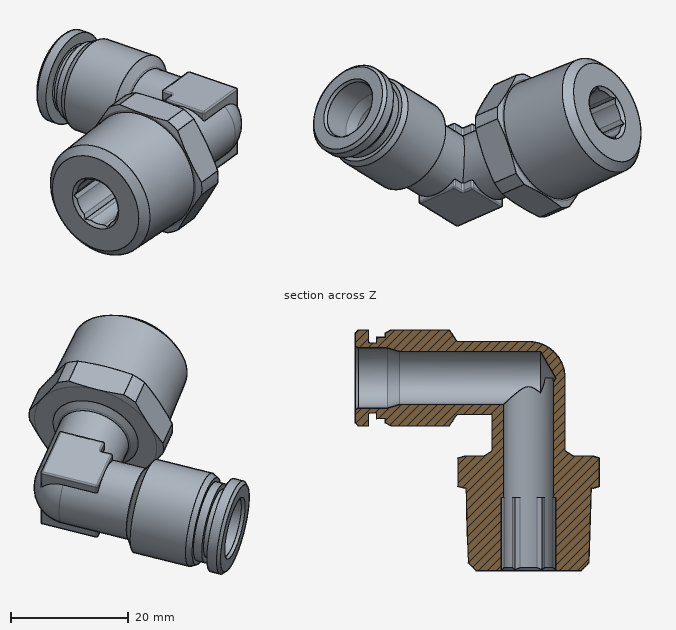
import cadquery as cq
import math


leg_radius = 6.25

tube_face = 29.55
sleeve_radius = 8.2
rim_chamfer = 0.55
collar_width = 2.3
neck_radius = 6.0
neck_flare = 0.2
seal_ring_radius = 6.95
seal_ring_offset = 3.6
sleeve_offset = 5.1
sleeve_chamfer = 1.0
sleeve_taper_offset = 16.05
shoulder_offset = 17.22

shoulder_rise = 0.2
shoulder_width = 0.2

tube_bore_radius = 5.1
mouth_radius = 5.4
mouth_depth = 0.6
tube_stop_offset = 5.5
tube_stop_taper = 2.1
passage_radius = 4.5
passage_end = 2.05
drill_half_angle = 60

thread_end = 32.82
hex_flats = 22.0
hex_corner_radius = 12.05
hex_face = 13.25
hex_width = 5.55
hex_bevel_depth = 0.35
hex_bevel_height = 1.1
flange_start = 12.52
flange_radius = 7.65
thread_radius = 10.7
thread_taper = 1 / 32
thread_chamfer = 1.37

bore_radius = 4.25
socket_flats = 8.0
socket_mouth_radius = 4.8
socket_depth = 12.5

pad_height = 6.5
pad_outer = 4.05
pad_inner = 6.2
pad_fillet = 0.3


def turned(stations, along_x):
    """Revolve (distance from origin, radius) stations about the -X or -Y axis.

    The first station lies on the axis; the last one is closed down to it.
    """
    closed = [*stations, (stations[-1][0], 0)]
    if along_x:
        points = [(-distance, radius) for distance, radius in closed]
        axis_end = (1, 0)
    else:
        points = [(radius, -distance) for distance, radius in closed]
        axis_end = (0, 1)
    return cq.Workplane("XY").polyline(points).close().revolve(360, (0, 0), axis_end)


def hex_prism(flats, start, length):
    """Hexagonal bar along -Y with two flats facing +Z and -Z."""
    corner_diameter = flats / math.cos(math.radians(30))
    return (
        cq.Workplane("XZ", origin=(0, -start, 0))
        .polygon(6, corner_diameter)
        .extrude(length)
    )


def tube_arm():
    shoulder_radius = leg_radius + shoulder_rise
    shoulder = tube_face - shoulder_offset
    return turned(
        [
            (0, 0),
            (0, leg_radius),
            (shoulder - shoulder_width, leg_radius),
            (shoulder, shoulder_radius),
            (tube_face - sleeve_taper_offset, sleeve_radius),
            (tube_face - sleeve_offset - sleeve_chamfer, sleeve_radius),
            (tube_face - sleeve_offset, sleeve_radius - rim_chamfer),
            (tube_face - sleeve_offset, seal_ring_radius),
            (tube_face - seal_ring_offset, seal_ring_radius),
            (tube_face - seal_ring_offset, neck_radius),
            (tube_face - collar_width - neck_flare, neck_radius),
            (tube_face - collar_width, neck_radius + neck_flare),
            (tube_face - collar_width, sleeve_radius),
            (tube_face - rim_chamfer, sleeve_radius),
            (tube_face, sleeve_radius - rim_chamfer),
        ],
        along_x=True,
    )


def threaded_arm():
    hex_end = hex_face + hex_width
    chamfer_start = thread_end - thread_chamfer
    thread_tip_radius = thread_radius - (chamfer_start - hex_end) * thread_taper
    core = turned(
        [
            (0, 0),
            (0, leg_radius),
            (flange_start - shoulder_width, leg_radius),
            (flange_start, leg_radius + shoulder_rise),
            (hex_face, flange_radius),
            (hex_face, thread_radius),
            (hex_end, thread_radius),
            (chamfer_start, thread_tip_radius),
            (thread_end, thread_tip_radius - thread_chamfer),
        ],
        along_x=False,
    )
    bevel_radius = hex_corner_radius - hex_bevel_height
    turned_envelope = turned(
        [
            (hex_face, 0),
            (hex_face, bevel_radius),
            (hex_face + hex_bevel_depth, hex_corner_radius),
            (hex_end - hex_bevel_depth, hex_corner_radius),
            (hex_end, bevel_radius),
        ],
        along_x=False,
    )
    hexagon = hex_prism(hex_flats, hex_face, hex_width).intersect(turned_envelope)
    return core.union(hexagon)


def label_pads():
    """One L-shaped block through the elbow, showing as a pad above and below it."""
    outline = [
        (-pad_inner, pad_outer),
        (pad_outer, pad_outer),
        (pad_outer, -pad_inner),
        (-pad_outer, -pad_inner),
        (-pad_outer, -pad_outer),
        (-pad_inner, -pad_outer),
    ]
    return (
        cq.Workplane("XY")
        .workplane(offset=-pad_height)
        .polyline(outline)
        .close()
        .extrude(2 * pad_height)
        .edges()
        .fillet(pad_fillet)
    )


def tube_bore():
    """Bore from the collar mouth, narrowing at the tube stop and ending in a drill point."""
    tube_stop = tube_face - tube_stop_offset
    drill_point_length = passage_radius / math.tan(math.radians(drill_half_angle))
    return turned(
        [
            (-passage_end - drill_point_length, 0),
            (-passage_end, passage_radius),
            (tube_stop - tube_stop_taper, passage_radius),
            (tube_stop, tube_bore_radius),
            (tube_face - mouth_depth, tube_bore_radius),
            (tube_face, mouth_radius),
        ],
        along_x=True,
    )


def threaded_bore():
    """Round bore up to the origin, with a hexagon socket and a countersunk mouth."""
    countersink_depth = socket_mouth_radius - bore_radius
    bore = turned(
        [
            (0, 0),
            (0, bore_radius),
            (thread_end - countersink_depth, bore_radius),
            (thread_end, socket_mouth_radius),
        ],
        along_x=False,
    )
    socket = hex_prism(socket_flats, thread_end - socket_depth, socket_depth)
    return bore.union(socket)


elbow = cq.Workplane("XY").sphere(leg_radius)
body = elbow.union(tube_arm()).union(threaded_arm()).union(label_pads())
result = body.cut(tube_bore()).cut(threaded_bore())